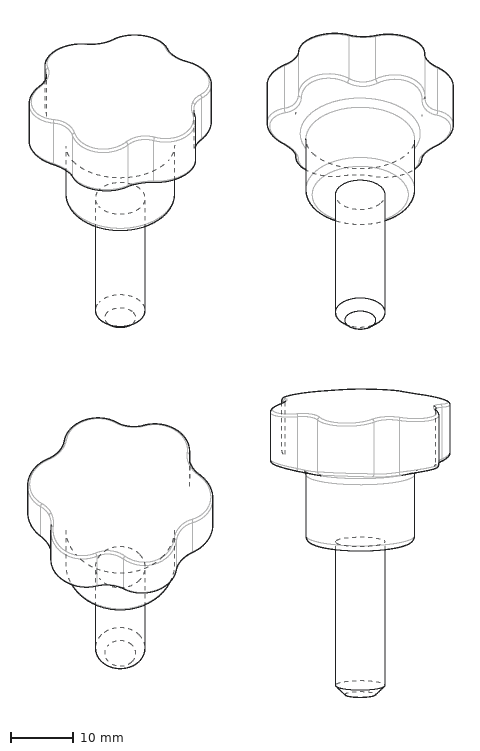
import cadquery as cq
import math

total_height = 48.65
collar_bottom = 25.0
underside_root = 36.95
underside_angle = 15.0

stem_diameter = 8.0
stem_chamfer = 1.5
collar_diameter = 17.5
collar_edge_radius = 1.0
shoulder_radius = 1.2

lobe_count = 6
tip_radius = 15.0
lobe_radius = 5.35
valley_radius = 4.3
dome_rise = 1.5
top_rim_radius = 0.45
bottom_rim_radius = 0.6

trim_margin = 0.95
head_overlap = 1.45

stem_radius = stem_diameter / 2
collar_radius = collar_diameter / 2
lobe_center_radius = tip_radius - lobe_radius
half_pitch = math.pi / lobe_count


def polar(radius, angle):
    return (radius * math.cos(angle), radius * math.sin(angle))


def lobed_outline():
    """Closed outline of tangent lobe and valley arcs, with one lobe pointing along +Y."""
    center_gap = lobe_radius + valley_radius
    valley_center_radius = lobe_center_radius * math.cos(half_pitch) + math.sqrt(
        center_gap**2 - (lobe_center_radius * math.sin(half_pitch)) ** 2
    )
    valley_bottom_radius = valley_center_radius - valley_radius

    lobe_x = lobe_center_radius
    valley_x, valley_y = polar(valley_center_radius, half_pitch)
    share = lobe_radius / center_gap
    joint_x = lobe_x + share * (valley_x - lobe_x)
    joint_y = share * valley_y
    joint_radius = math.hypot(joint_x, joint_y)
    joint_angle = math.atan2(joint_y, joint_x)

    lobe_angle = math.pi / 2
    outline = cq.Workplane("XY").moveTo(*polar(joint_radius, lobe_angle - joint_angle))
    for _ in range(lobe_count):
        next_angle = lobe_angle + 2 * half_pitch
        outline = outline.threePointArc(
            polar(tip_radius, lobe_angle), polar(joint_radius, lobe_angle + joint_angle)
        )
        outline = outline.threePointArc(
            polar(valley_bottom_radius, lobe_angle + half_pitch),
            polar(joint_radius, next_angle - joint_angle),
        )
        lobe_angle = next_angle
    return outline.close()


def make_head():
    """Lobed prism trimmed by a domed top and a conical underside, with rounded rims."""
    trim_radius = tip_radius + trim_margin
    dome_radius = (tip_radius**2 + dome_rise**2) / (2 * dome_rise)

    def dome_height(radius):
        return total_height - dome_radius + math.sqrt(dome_radius**2 - radius**2)

    underside_rise = (trim_radius - collar_radius) * math.tan(math.radians(underside_angle))
    envelope = (
        cq.Workplane("XZ")
        .moveTo(0, underside_root)
        .lineTo(collar_radius, underside_root)
        .lineTo(trim_radius, underside_root + underside_rise)
        .lineTo(trim_radius, dome_height(trim_radius))
        .threePointArc((trim_radius / 2, dome_height(trim_radius / 2)), (0, total_height))
        .close()
        .revolve(360, (0, 0, 0), (0, 1, 0))
    )
    head = lobed_outline().extrude(total_height).intersect(envelope)
    mid_height = (underside_root + total_height) / 2
    far = 2 * total_height
    upper_half = cq.selectors.BoxSelector((-far, -far, mid_height), (far, far, far))
    lower_half = cq.selectors.BoxSelector((-far, -far, -far), (far, far, mid_height))
    head = head.faces("%CYLINDER").edges("not |Z").edges(upper_half).fillet(top_rim_radius)
    return head.faces("%CYLINDER").edges("not |Z").edges(lower_half).fillet(bottom_rim_radius)


def make_collar():
    """Round collar with a rounded bottom edge, running up into the head."""
    return (
        cq.Workplane("XY", origin=(0, 0, collar_bottom))
        .circle(collar_radius)
        .extrude(underside_root + head_overlap - collar_bottom)
        .faces("<Z")
        .edges()
        .fillet(collar_edge_radius)
    )


def make_shoulder():
    """Ring that blends the collar wall into the sloping underside with a concave arc."""
    slope = math.radians(underside_angle)
    tangent_length = shoulder_radius * math.tan((math.pi / 2 - slope) / 2)
    blend_bottom = underside_root - tangent_length
    arc_center_x = collar_radius + shoulder_radius

    def arc_point(angle):
        return (
            arc_center_x - shoulder_radius * math.cos(angle),
            blend_bottom + shoulder_radius * math.sin(angle),
        )

    sweep = math.pi / 2 - slope
    blend_x, blend_z = arc_point(sweep)
    return (
        cq.Workplane("XZ")
        .moveTo(stem_radius, blend_bottom)
        .lineTo(collar_radius, blend_bottom)
        .threePointArc(arc_point(sweep / 2), (blend_x, blend_z))
        .lineTo(blend_x, underside_root + head_overlap)
        .lineTo(stem_radius, underside_root + head_overlap)
        .close()
        .revolve(360, (0, 0, 0), (0, 1, 0))
    )


def make_stem():
    """Plain round stem with a chamfered tip."""
    return (
        cq.Workplane("XY")
        .circle(stem_radius)
        .extrude(underside_root + head_overlap)
        .faces("<Z")
        .edges()
        .chamfer(stem_chamfer)
    )


result = make_head().union(make_shoulder()).union(make_collar()).union(make_stem())